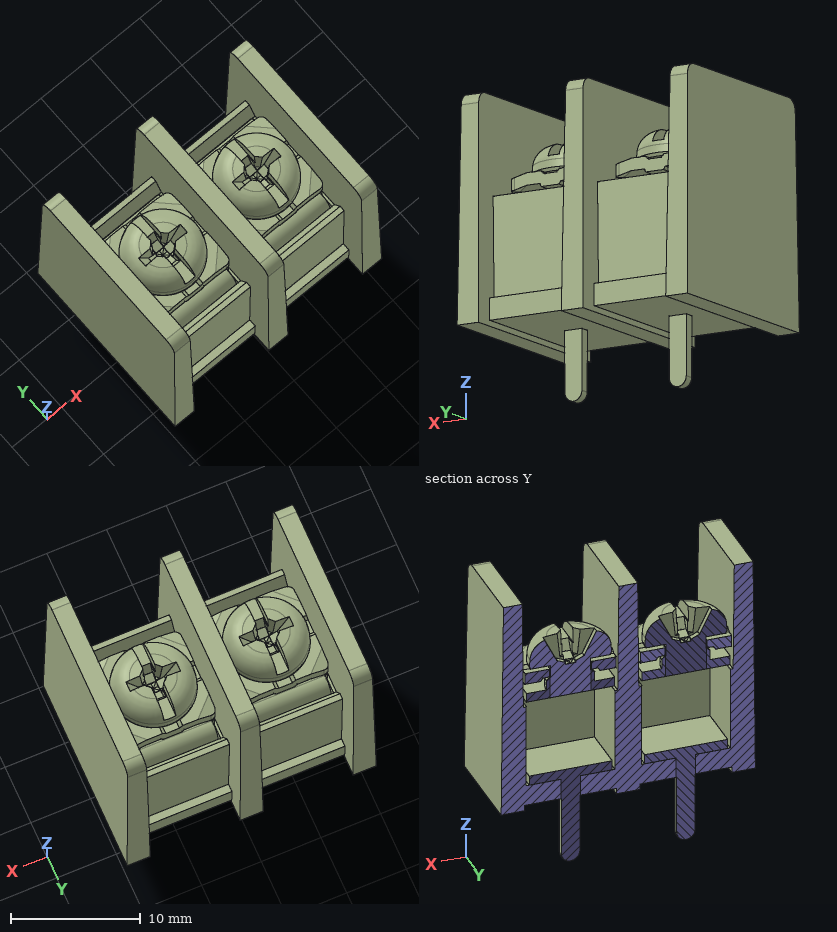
import cadquery as cq
import math

OVERALL_X = 20.9
BARRIER_FOOT_X = 1.95
POLE_PITCH = (OVERALL_X - BARRIER_FOOT_X) / 2
POLE_CENTERS = [-POLE_PITCH / 2, POLE_PITCH / 2]
BARRIER_CENTERS = [-POLE_PITCH, 0, POLE_PITCH]

BARRIER_HEIGHT = 18.4
BARRIER_TOP_X = 1.58
BARRIER_FOOT_Y = 16.3
BARRIER_TOP_Y = 15.65
BARRIER_CORNER_RADIUS = 1.0

BLOCK_BOTTOM = 0.47
LEDGE_TOP = 2.25
LEDGE_HALF_Y = 6.51
BLOCK_TOP = 10.4
BLOCK_HALF_Y = 5.85
MOUTH_HALF_Y = 5.38

STRIP = 0.8
BEND_RADIUS = 1.18
TERMINAL_HALF_Y = 4.7
LEG_WIDTH = 6.82
PLATE_WIDTH = 7.25
TERMINAL_TOP = BLOCK_TOP
PLATE_BOTTOM = TERMINAL_TOP - STRIP
COLLAR_DIAMETER = 4.0
PIN_WIDTH = 1.55
PIN_TIP = -5.2

POCKET_FLOOR = LEDGE_TOP
POCKET_LEDGE = TERMINAL_TOP - BEND_RADIUS

WASHER_SIZE = 7.5
WASHER_CORNER_RADIUS = 0.52
WASHER_THICKNESS = 1.0
EMBOSS = 0.25
EMBOSS_BOTTOM = TERMINAL_TOP + STRIP
WASHER_BOTTOM = EMBOSS_BOTTOM + EMBOSS
WASHER_TOP = WASHER_BOTTOM + WASHER_THICKNESS
WASHER_HOLE = 3.4
GROOVE_MOUTH_WIDTH = 1.7
GROOVE_FLOOR_WIDTH = 1.13
RIB_ROOT_WIDTH = 1.94
RIB_CREST_WIDTH = 1.6
RECESS_DIAMETER = 4.9
RECESS_ROOT_RADIUS = 2.27
FOLD_DISTANCE = 4.15
FOLD_RUN = 0.8

SHANK_DIAMETER = 3.3
HEAD_UNDERSIDE_RADIUS = 3.28
RIM_RADIUS = 3.4
RIM_HEIGHT = 0.25
SIDE_RADIUS = 3.35
SIDE_HEIGHT = 0.9
DOME_MID = (2.83, 1.98)
CROWN_RADIUS = 1.85
CROWN_HEIGHT = 2.43
HEAD_HEIGHT = 2.6
SLOT_WIDTH = 1.0
SLOT_FLOOR = WASHER_TOP + 1.25
CROSS_WIDTH = 0.83
CROSS_TOP_HALF = 2.22
CROSS_FLOOR_HALF = 1.1
CROSS_FLOOR = WASHER_TOP + 0.38
CROSS_TIP = WASHER_TOP - 0.1
SOCKET_TOP_HALF_DIAGONAL = 1.37
SOCKET_FLOOR_HALF_DIAGONAL = 1.13


def prism_along_x(points, length):
    """Solid with a (y, z) outline, centred on X = 0."""
    return cq.Workplane("YZ").polyline(points).close().extrude(length / 2, both=True)


def prism_along_y(points, length):
    """Solid with an (x, z) outline, centred on Y = 0."""
    return cq.Workplane("XZ").polyline(points).close().extrude(length / 2, both=True)


def trapezoid(bottom_width, top_width, bottom, top):
    """Symmetric trapezoid outline from height bottom to height top."""
    return [
        (-bottom_width / 2, bottom),
        (bottom_width / 2, bottom),
        (top_width / 2, top),
        (-top_width / 2, top),
    ]


def slab(size_x, size_y, bottom, top):
    """Box centred on the Z axis between two heights."""
    return cq.Workplane("XY").workplane(offset=bottom).rect(size_x, size_y).extrude(top - bottom)


def cylinder(diameter, bottom, top):
    """Cylinder on the Z axis between two heights."""
    return cq.Workplane("XY").workplane(offset=bottom).circle(diameter / 2).extrude(top - bottom)


def make_barrier():
    side = prism_along_x(trapezoid(BARRIER_FOOT_Y, BARRIER_TOP_Y, 0, BARRIER_HEIGHT), BARRIER_FOOT_X)
    side = side.faces(">Z").edges("|X").fillet(BARRIER_CORNER_RADIUS)
    edge = prism_along_y(trapezoid(BARRIER_FOOT_X, BARRIER_TOP_X, 0, BARRIER_HEIGHT), BARRIER_FOOT_Y)
    return side.intersect(edge)


def make_housing():
    length = 2 * POLE_PITCH
    block = slab(length, 2 * BLOCK_HALF_Y, BLOCK_BOTTOM, BLOCK_TOP)
    block = block.union(slab(length, 2 * LEDGE_HALF_Y, BLOCK_BOTTOM, LEDGE_TOP))
    mouth = trapezoid(2 * TERMINAL_HALF_Y, 2 * MOUTH_HALF_Y, POCKET_LEDGE, BLOCK_TOP)
    block = block.cut(prism_along_x(mouth, length))
    pocket = slab(PLATE_WIDTH, 2 * TERMINAL_HALF_Y, POCKET_FLOOR, POCKET_LEDGE)
    pin_hole = slab(PIN_WIDTH, STRIP, BLOCK_BOTTOM, POCKET_FLOOR)
    for x in POLE_CENTERS:
        block = block.cut(pocket.translate((x, 0, 0))).cut(pin_hole.translate((x, 0, 0)))
    for x in BARRIER_CENTERS:
        block = block.union(make_barrier().translate((x, 0, 0)))
    return block


def make_pin():
    tip_radius = PIN_WIDTH / 2
    return (
        cq.Workplane("XZ")
        .moveTo(-tip_radius, POCKET_FLOOR)
        .lineTo(-tip_radius, PIN_TIP + tip_radius)
        .threePointArc((0, PIN_TIP), (tip_radius, PIN_TIP + tip_radius))
        .lineTo(tip_radius, POCKET_FLOOR)
        .close()
        .extrude(STRIP / 2, both=True)
    )


def make_collar():
    collar = cylinder(COLLAR_DIAMETER, TERMINAL_TOP, WASHER_BOTTOM)
    return collar.faces(">Z").chamfer(EMBOSS)


def make_terminal():
    loop = slab(LEG_WIDTH, 2 * TERMINAL_HALF_Y, POCKET_FLOOR, TERMINAL_TOP)
    loop = loop.faces(">Z").edges("|X").fillet(BEND_RADIUS)
    window = slab(LEG_WIDTH, 2 * (TERMINAL_HALF_Y - STRIP), POCKET_FLOOR + STRIP, PLATE_BOTTOM)
    window = window.faces(">Z").edges("|X").fillet(BEND_RADIUS - STRIP)
    plate = slab(PLATE_WIDTH, 2 * (TERMINAL_HALF_Y - BEND_RADIUS), PLATE_BOTTOM, TERMINAL_TOP)
    terminal = loop.cut(window).union(plate).union(make_collar()).union(make_pin())
    return terminal.cut(cylinder(SHANK_DIAMETER, PLATE_BOTTOM, WASHER_BOTTOM))


def washer_outline(bottom, top):
    return slab(WASHER_SIZE, WASHER_SIZE, bottom, top).edges("|Z").fillet(WASHER_CORNER_RADIUS)


def bent_corners():
    """Corners of the plate, sloping down from their fold lines."""
    reach = WASHER_SIZE / math.sqrt(2)
    drop = EMBOSS * (reach - FOLD_DISTANCE) / FOLD_RUN
    wing_outline = [
        (FOLD_DISTANCE, WASHER_BOTTOM),
        (reach, WASHER_BOTTOM - drop),
        (reach, WASHER_TOP - drop),
        (FOLD_DISTANCE, WASHER_TOP),
    ]
    wing = prism_along_y(wing_outline, WASHER_SIZE)
    outline = washer_outline(EMBOSS_BOTTOM, WASHER_TOP)
    return [wing.rotate((0, 0, 0), (0, 0, 1), angle).intersect(outline) for angle in (45, 135, 225, 315)]


def make_washer():
    inner_diamond = slab(2 * FOLD_DISTANCE, 2 * FOLD_DISTANCE, WASHER_BOTTOM, WASHER_TOP)
    inner_diamond = inner_diamond.rotate((0, 0, 0), (0, 0, 1), 45)
    washer = washer_outline(WASHER_BOTTOM, WASHER_TOP).intersect(inner_diamond)
    for corner in bent_corners():
        washer = washer.union(corner)

    rib = trapezoid(RIB_CREST_WIDTH, RIB_ROOT_WIDTH, EMBOSS_BOTTOM, WASHER_BOTTOM)
    groove = trapezoid(GROOVE_FLOOR_WIDTH, GROOVE_MOUTH_WIDTH, WASHER_TOP - EMBOSS, WASHER_TOP)
    for prism in (prism_along_x, prism_along_y):
        washer = washer.union(prism(rib, WASHER_SIZE))
    for prism in (prism_along_x, prism_along_y):
        washer = washer.cut(prism(groove, WASHER_SIZE))

    recess = (
        cq.Workplane("XZ")
        .moveTo(0, EMBOSS_BOTTOM)
        .lineTo(RECESS_DIAMETER / 2, EMBOSS_BOTTOM)
        .lineTo(RECESS_ROOT_RADIUS, WASHER_BOTTOM)
        .lineTo(0, WASHER_BOTTOM)
        .close()
        .revolve(360, (0, 0, 0), (0, 1, 0))
    )
    return washer.cut(recess).cut(cylinder(WASHER_HOLE, WASHER_BOTTOM, WASHER_TOP))


def make_head():
    return (
        cq.Workplane("XZ", origin=(0, 0, WASHER_TOP))
        .lineTo(HEAD_UNDERSIDE_RADIUS, 0)
        .lineTo(RIM_RADIUS, RIM_HEIGHT)
        .lineTo(SIDE_RADIUS, SIDE_HEIGHT)
        .threePointArc(DOME_MID, (CROWN_RADIUS, CROWN_HEIGHT))
        .lineTo(0, HEAD_HEIGHT)
        .close()
        .revolve(360, (0, 0, 0), (0, 1, 0))
    )


def cross_recess():
    """Tapered cross with a pointed floor, widened at its core by a tapered diamond."""
    top = WASHER_TOP + HEAD_HEIGHT
    arm_outline = [
        (0, CROSS_TIP),
        (CROSS_FLOOR_HALF, CROSS_FLOOR),
        (CROSS_TOP_HALF, top),
        (-CROSS_TOP_HALF, top),
        (-CROSS_FLOOR_HALF, CROSS_FLOOR),
    ]
    arm_along_x = prism_along_y(arm_outline, CROSS_WIDTH)
    arm_along_y = prism_along_x(arm_outline, CROSS_WIDTH)
    socket = (
        cq.Workplane("XY", origin=(0, 0, CROSS_FLOOR))
        .polygon(4, 2 * SOCKET_FLOOR_HALF_DIAGONAL)
        .workplane(offset=top - CROSS_FLOOR)
        .polygon(4, 2 * SOCKET_TOP_HALF_DIAGONAL)
        .loft(ruled=True)
    )
    return arm_along_x.union(arm_along_y).union(socket)


def make_screw():
    screw = make_head().union(cylinder(SHANK_DIAMETER, PLATE_BOTTOM, WASHER_TOP))
    slot = slab(SLOT_WIDTH, 2 * RIM_RADIUS, SLOT_FLOOR, WASHER_TOP + HEAD_HEIGHT)
    return screw.cut(slot).cut(cross_recess())


housing = make_housing()
terminals = [make_terminal().translate((x, 0, 0)) for x in POLE_CENTERS]
washers = [make_washer().translate((x, 0, 0)) for x in POLE_CENTERS]
screws = [make_screw().translate((x, 0, 0)) for x in POLE_CENTERS]

bodies = [housing, *terminals, *washers, *screws]
result = cq.Compound.makeCompound([body.val() for body in bodies])